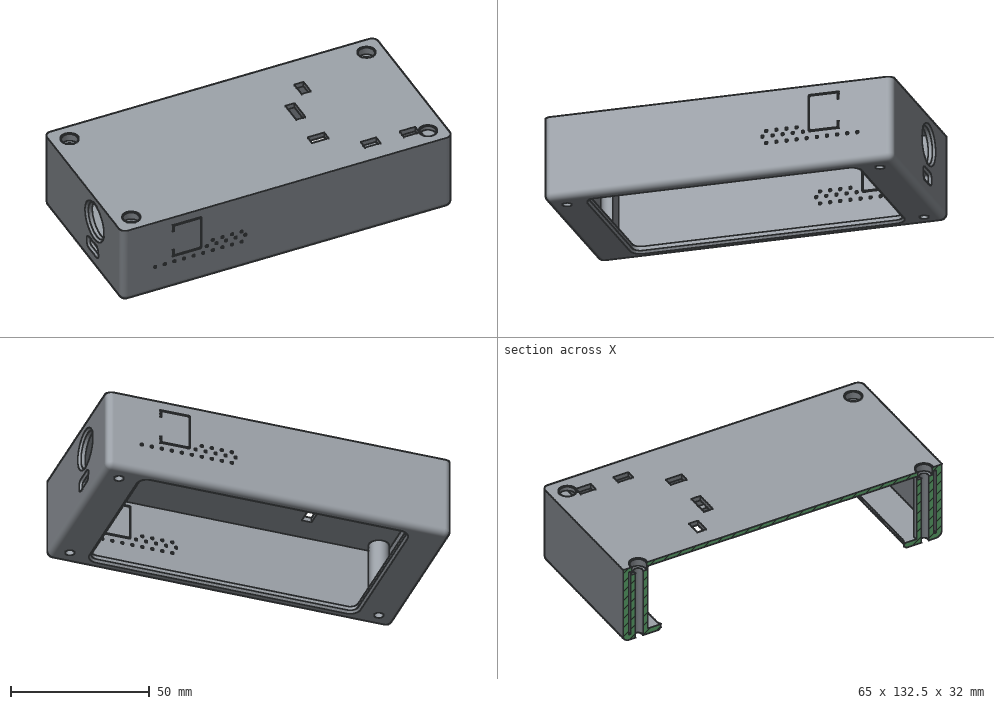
import cadquery as cq
length_x = 65.0
length_y = 132.5
height = 32.0
wall = 2.5
floor_thickness = 2.5
lid_thickness = 2.0
edge_radius = 2.5

bottom_z = -height / 2
top_z = height / 2
floor_z = bottom_z + floor_thickness
lid_z = top_z - lid_thickness
front_y = -length_y / 2

screw_inset = 6.8
screw_row_y_offset = 0.1
screw_row_spacing = 118.7
screw_x = length_x / 2 - screw_inset
front_screw_y = screw_row_y_offset - screw_row_spacing / 2
rear_screw_y = screw_row_y_offset + screw_row_spacing / 2
post_diameter = 7.5
screw_diameter = 3.5
head_diameter = 6.1
head_mouth_diameter = 6.8
head_depth = 3.3
post_flat_y = 57.9

window_x = 55.4
window_y = 102.3
window_radius = 3.0
window_chamfer = 0.9

slot_width = 3.7
slot_length = 6.2
lid_slots = [
    (-16.5, 29.5, slot_length, slot_width),
    (-5.2, 21.2, 9.1, slot_width),
    (12.5, 21.9, slot_width, 6.6),
    (23.2, 37.8, slot_width, slot_length),
    (23.6, 53.1, slot_width, slot_length),
]

opening_chamfer = 0.9
round_x = 9.7
round_z = 5.2
round_diameter = 14.0
port_x = 8.1
port_z = -7.5
port_width = 7.8
port_height = 3.2
port_radius = 0.8

vent_diameter = 1.0
vent_pitch = 3.8
vent_rows = [
    (-18.3, 0.5, 4),
    (-16.8, -1.5, 5),
    (-18.3, -4.1, 10),
]

tab_back_y = -34.2
tab_front_y = -45.8
tab_bottom_z = -1.7
tab_top_z = 12.6
tab_radius = 1.0
slit_width = 0.5
slit_hook = 2.9


def make_shell():
    """Box with rounded vertical and bottom edges and a closed cavity."""
    tray_height = lid_z - bottom_z
    tray = (
        cq.Workplane("XY", origin=(0, 0, bottom_z))
        .rect(length_x, length_y)
        .extrude(tray_height)
        .edges("|Z or <Z")
        .fillet(edge_radius)
    )
    cavity = (
        cq.Workplane("XY", origin=(0, 0, floor_z))
        .rect(length_x - 2 * wall, length_y - 2 * wall)
        .extrude(tray_height)
    )
    lid = (
        cq.Workplane("XY", origin=(0, 0, lid_z))
        .rect(length_x, length_y)
        .extrude(lid_thickness)
        .edges("|Z")
        .fillet(edge_radius)
    )
    return tray.cut(cavity).union(lid, clean=False)


def vertical_cylinder(x, y, diameter, z_low, z_high):
    return (
        cq.Workplane("XY", origin=(x, y, z_low))
        .circle(diameter / 2)
        .extrude(z_high - z_low)
    )


def make_head_recess(x, y, depth):
    """Flat-bottomed recess with a small chamfer at the lid surface."""
    chamfer = (head_mouth_diameter - head_diameter) / 2
    mouth = (
        cq.Workplane("XY", origin=(x, y, top_z))
        .circle(head_mouth_diameter / 2)
        .workplane(offset=-chamfer)
        .circle(head_diameter / 2)
        .loft()
    )
    return vertical_cylinder(x, y, head_diameter, top_z - depth, top_z).union(mouth)


def add_screw_posts(body):
    """Three drilled posts, and a blind one with a flat beside the end slot."""
    for x in (-screw_x, screw_x):
        for y in (front_screw_y, rear_screw_y):
            blind = x == screw_x and y == rear_screw_y
            post = vertical_cylinder(x, y, post_diameter, floor_z, lid_z)
            if blind:
                beyond_flat = cq.Workplane("XY", origin=(x, post_flat_y - post_diameter / 2, 0))
                post = post.cut(beyond_flat.box(post_diameter, post_diameter, height))
            body = body.union(post, clean=False)
            recess_depth = lid_thickness if blind else head_depth
            recess = make_head_recess(x, y, recess_depth)
            body = body.cut(recess, clean=False)
            if not blind:
                screw_hole = vertical_cylinder(x, y, screw_diameter, bottom_z, top_z)
                body = body.cut(screw_hole, clean=False)
    return body


def make_bottom_window():
    """Rounded window through the floor, chamfered on the outer face."""
    opening = (
        cq.Workplane("XY", origin=(0, 0, bottom_z))
        .rect(window_x, window_y)
        .extrude(floor_thickness)
        .edges("|Z")
        .fillet(window_radius)
    )
    flare = (
        cq.Workplane("XY", origin=(0, 0, bottom_z))
        .sketch()
        .rect(window_x + 2 * window_chamfer, window_y + 2 * window_chamfer)
        .vertices()
        .fillet(window_radius + window_chamfer)
        .finalize()
        .extrude(window_chamfer, taper=45)
    )
    return opening.union(flare)


def make_lid_slots():
    slots = cq.Workplane("XY")
    for x, y, size_x, size_y in lid_slots:
        slots = slots.union(
            cq.Workplane("XY", origin=(x, y, lid_z))
            .rect(size_x, size_y)
            .extrude(lid_thickness)
        )
    return slots


def cut_front_openings(body):
    """Round hole and rounded port, both chamfered at the outer face."""
    mouth = opening_chamfer
    hole = (
        cq.Workplane("XZ", origin=(round_x, front_y, round_z))
        .circle(round_diameter / 2 + mouth)
        .workplane(offset=-mouth)
        .circle(round_diameter / 2)
        .loft()
        .faces(">Y")
        .workplane()
        .circle(round_diameter / 2)
        .extrude(wall - mouth)
    )
    port_mouth = (
        cq.Workplane("XZ", origin=(port_x, front_y, port_z))
        .sketch()
        .rect(port_width + 2 * mouth, port_height + 2 * mouth)
        .vertices()
        .fillet(port_radius + mouth)
        .finalize()
        .extrude(-mouth, taper=45)
    )
    port = (
        cq.Workplane("XZ", origin=(port_x, front_y, port_z))
        .rect(port_width, port_height)
        .extrude(-wall)
        .edges("|Y")
        .fillet(port_radius)
    )
    for cutter in (hole, port_mouth, port):
        body = body.cut(cutter, clean=False)
    return body


def make_vents():
    """Rows of small holes that run straight through both long walls."""
    vents = cq.Workplane("YZ", origin=(-length_x / 2, 0, 0))
    points = [
        (first_y - vent_pitch * index, z)
        for first_y, z, count in vent_rows
        for index in range(count)
    ]
    return vents.pushPoints(points).circle(vent_diameter / 2).extrude(length_x)


def make_tab_slit():
    """C-shaped slit, open on its front side, through both long walls."""
    tab_y = tab_back_y - tab_front_y
    tab_z = tab_top_z - tab_bottom_z
    mid_y = (tab_back_y + tab_front_y) / 2
    mid_z = (tab_top_z + tab_bottom_z) / 2

    def block(inset, radius):
        return (
            cq.Workplane("YZ", origin=(-length_x / 2, mid_y, mid_z))
            .rect(tab_y - 2 * inset, tab_z - 2 * inset)
            .extrude(length_x)
            .edges("|X and >Y")
            .fillet(radius)
        )

    hinge = (
        cq.Workplane("YZ", origin=(-length_x / 2, tab_front_y, mid_z))
        .rect(2 * slit_width, tab_z - 2 * slit_hook)
        .extrude(length_x)
    )
    ring = block(0, tab_radius).cut(block(slit_width, tab_radius - slit_width))
    return ring.cut(hinge)


result = add_screw_posts(make_shell())
result = cut_front_openings(result)
for cutter in (make_bottom_window(), make_lid_slots(), make_vents(), make_tab_slit()):
    result = result.cut(cutter, clean=False)